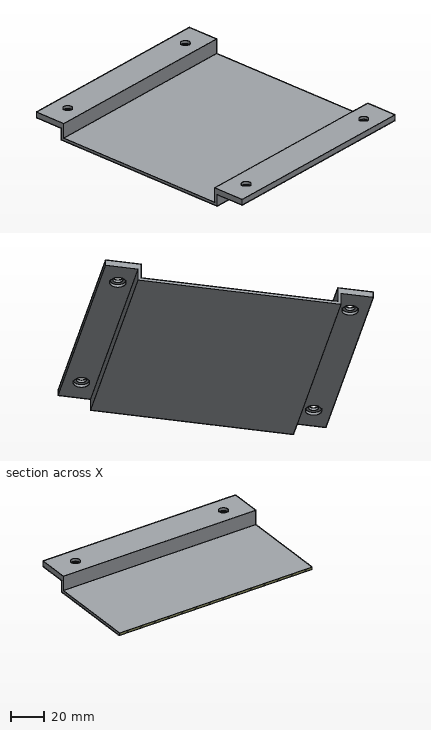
import cadquery as cq

length_x = 165.0
width_y = 140.0
height = 12.0

flange_width = 22.0
flange_thickness = 4.0
wall_thickness = 2.0
floor_thickness = 2.0

hole_spacing_y = 107.5
hole_diameter = 6.0
counterbore_diameter = 10.0
counterbore_depth = 2.0

half_length = length_x / 2
inner_half = half_length - flange_width
outer_half = inner_half + wall_thickness
flange_underside = height - flange_thickness

hole_spacing_x = length_x - flange_width


def make_tray():
    """Hat-shaped section extruded along Y, centred on the origin, floor underside at Z = 0."""
    right_half = [
        (outer_half, 0),
        (outer_half, flange_underside),
        (half_length, flange_underside),
        (half_length, height),
        (inner_half, height),
        (inner_half, floor_thickness),
    ]
    left_half = [(-x, z) for x, z in reversed(right_half)]
    section = cq.Workplane("XZ").polyline(right_half + left_half).close()
    return section.extrude(width_y / 2, both=True)


def make_hole_cutters():
    """Stepped cutters: a through hole with a wider bore opening downward."""
    drill = (
        cq.Workplane("XY", origin=(0, 0, flange_underside))
        .rect(hole_spacing_x, hole_spacing_y, forConstruction=True)
        .vertices()
    )
    through_holes = drill.circle(hole_diameter / 2).extrude(flange_thickness)
    counterbores = drill.circle(counterbore_diameter / 2).extrude(counterbore_depth)
    return through_holes.union(counterbores)


result = make_tray().cut(make_hole_cutters())